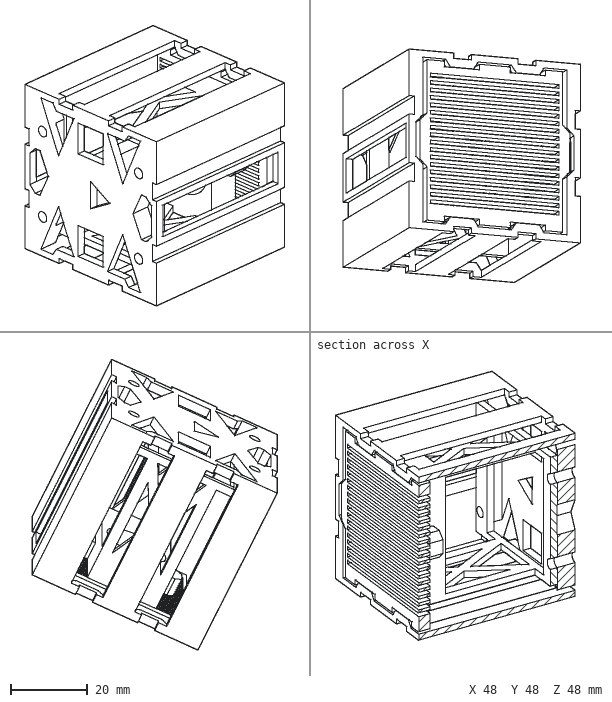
import cadquery as cq
SIZE = 48.0
HALF = SIZE / 2

ROOF = 1.85
BORE_TOP = HALF - ROOF
LAND = 20.15
GROOVE_INNER = 6.55
GROOVE_WIDTH = 4.95
GROOVE_DEPTH = 1.45
OPENING_Y = 21.6
FRONT_INNER = -OPENING_Y
SLOT_INNER = 4.6
SLOT_OUTER = 13.8
LAND_START = 6.0
LAND_END = 12.5

TRIANGLE_X = 11.7
TRIANGLE_APEX_Z = 7.4
TRIANGLE_HALF_BASE = 6.45
SQUARE_BOTTOM = 10.45
SQUARE_TOP = 19.5
ARROW_HALF = 4.0
ARROW_LENGTH = 7.0
SIDE_TIP_X = 15.45
SIDE_SHOULDER_X = 18.55
SCREW_DIAMETER = 3.0
SCREW_X = 17.5
SCREW_Z = 12.5
PILLAR_MARGIN = 2.5
PILLAR_INNER = SCREW_X - PILLAR_MARGIN
RING_FRONT = -18.5

RING_BACK = -16.35
RING_HALF_Z = 19.0
RING_HALF_X = 19.5
RING_OPENING_X = 14.1
RING_OPENING_Z = 17.1
CARRIER_HALF_X = 10.0
BLOCK_FRONT = 11.05
CARRIER_BACK = 19.9
BARREL_DIAMETER = 17.0
BARREL_Z = -3.4
LUG_LENGTH = 5.0
LUG_HALF = 3.95
LUG_TIP_HALF = 2.0
LUG_CHAMFER = LUG_HALF - LUG_TIP_HALF
TRUSS_HALF_X = 7.0
TRUSS_CENTRE_Y = 0.25
TRUSS_SLOPE = 1.95
TRUSS_SIDE_HALF = 10.8

GRILLE_FRONT = 20.45
GRILLE_TOP = 21.55
GRILLE_NOTCH_START = 4.3
GRILLE_NOTCH_END = 14.1
GRILLE_NOTCH_TOP = 20.05
GRILLE_BUMP_X = 21.0
GRILLE_HALF_X = 19.0
GRILLE_BUMP_HALF = 5.3
GRILLE_WINDOW = 18.0
SLAT_COUNT = 18
SLAT_PITCH = 2 * GRILLE_WINDOW / SLAT_COUNT
SLAT_HEIGHT = SLAT_PITCH / 2


def box(x_min, x_max, y_min, y_max, z_min, z_max):
    size = (x_max - x_min, y_max - y_min, z_max - z_min)
    return cq.Workplane("XY").box(*size, centered=False).translate((x_min, y_min, z_min))


def prism_y(points, y_min, y_max):
    """Extrude an outline of (x, z) points from y_min to y_max."""
    return cq.Workplane("XZ", origin=(0, y_min, 0)).polyline(points).close().extrude(y_min - y_max)


def prism_z(points, z_min, z_max):
    """Extrude an outline of (x, y) points from z_min to z_max."""
    return cq.Workplane("XY", origin=(0, 0, z_min)).polyline(points).close().extrude(z_max - z_min)


def cylinder_y(diameter, x, z, y_min, y_max):
    return cq.Workplane("XZ", origin=(x, y_min, z)).circle(diameter / 2).extrude(y_min - y_max)


def mirror_quarter(quarter):
    """Complete an outline from its points in the +X +Z quarter, listed from the X axis to the Z axis."""
    upper_left = [(-x, z) for x, z in reversed(quarter)]
    lower_left = [(-x, -z) for x, z in quarter]
    lower_right = [(x, -z) for x, z in reversed(quarter)]
    return quarter + upper_left + lower_left + lower_right


def mirrored_pair(shape, plane):
    return shape.union(shape.mirror(plane))


def bore(y_min, y_max):
    """Inside of the housing, with a channel along each side and lands under the top grooves."""
    quarter = [
        (BORE_TOP, SLOT_INNER),
        (LAND, SLOT_INNER + BORE_TOP - LAND),
        (LAND, BORE_TOP),
        (SLOT_OUTER, BORE_TOP),
        (LAND_END, LAND),
        (LAND_START, LAND),
        (SLOT_INNER, BORE_TOP),
    ]
    return prism_y(mirror_quarter(quarter), y_min, y_max)


def side_cutout(y_max):
    points = [
        (SIDE_TIP_X, 0),
        (SIDE_SHOULDER_X, GROOVE_INNER),
        (HALF, GROOVE_INNER),
        (HALF, -GROOVE_INNER),
        (SIDE_SHOULDER_X, -GROOVE_INNER),
    ]
    cutout = prism_y(points, -HALF, y_max).intersect(bore(-HALF, y_max))
    return mirrored_pair(cutout, "YZ")


def corner_triangles():
    points = [
        (TRIANGLE_X, TRIANGLE_APEX_Z),
        (TRIANGLE_X + TRIANGLE_HALF_BASE, BORE_TOP),
        (TRIANGLE_X - TRIANGLE_HALF_BASE, BORE_TOP),
    ]
    triangle = prism_y(points, -HALF, RING_FRONT).intersect(bore(-HALF, RING_FRONT))
    return mirrored_pair(mirrored_pair(triangle, "YZ"), "XY")


def screw_holes(y_min, y_max):
    hole = cylinder_y(SCREW_DIAMETER, SCREW_X, SCREW_Z, y_min, y_max)
    return mirrored_pair(mirrored_pair(hole, "YZ"), "XY")


def make_housing():
    body = box(-HALF, HALF, -HALF, HALF, -HALF, HALF)
    body = body.cut(bore(FRONT_INNER, HALF))
    pillar = box(PILLAR_INNER, BORE_TOP, FRONT_INNER, RING_FRONT, -BORE_TOP, BORE_TOP)
    body = body.union(mirrored_pair(pillar, "YZ"))

    groove_outer = GROOVE_INNER + GROOVE_WIDTH
    groove = box(GROOVE_INNER, groove_outer, -HALF, HALF, HALF - GROOVE_DEPTH, HALF)
    groove_pair = mirrored_pair(groove, "YZ")
    for turn in range(4):
        body = body.cut(groove_pair.rotate((0, 0, 0), (0, 1, 0), 90 * turn))

    slot = box(SLOT_INNER, SLOT_OUTER, -OPENING_Y, OPENING_Y, LAND - 0.5, HALF)
    body = body.cut(mirrored_pair(mirrored_pair(slot, "YZ"), "XY"))
    window = box(BORE_TOP, HALF, -OPENING_Y, OPENING_Y, -SLOT_INNER, SLOT_INNER)
    body = body.cut(mirrored_pair(window, "YZ"))

    square = box(-SLOT_INNER, SLOT_INNER, -HALF, FRONT_INNER, SQUARE_BOTTOM, SQUARE_TOP)
    body = body.cut(mirrored_pair(square, "XY"))
    body = body.cut(corner_triangles())
    body = body.cut(side_cutout(RING_FRONT))
    body = body.cut(screw_holes(-HALF, RING_FRONT))
    arrow = [(0, ARROW_HALF), (0, -ARROW_HALF), (ARROW_LENGTH, 0)]
    return body.cut(prism_y(arrow, -HALF, FRONT_INNER))


def truss_openings():
    """Four triangles that leave crossing diagonals in the carrier plates."""
    apex_x = TRUSS_HALF_X - TRUSS_SIDE_HALF / TRUSS_SLOPE
    side = [
        (TRUSS_HALF_X, TRUSS_CENTRE_Y - TRUSS_SIDE_HALF),
        (TRUSS_HALF_X, TRUSS_CENTRE_Y + TRUSS_SIDE_HALF),
        (apex_x, TRUSS_CENTRE_Y),
    ]
    front = [
        (-TRUSS_HALF_X, RING_BACK),
        (TRUSS_HALF_X, RING_BACK),
        (0, RING_BACK + TRUSS_HALF_X * TRUSS_SLOPE),
    ]
    sides = mirrored_pair(prism_z(side, -RING_HALF_Z, RING_HALF_Z), "YZ")
    front_opening = prism_z(front, -RING_HALF_Z, RING_HALF_Z)
    back_opening = front_opening.mirror("XZ", (0, TRUSS_CENTRE_Y, 0))
    return sides.union(front_opening).union(back_opening)


def make_carrier():
    ring = box(-RING_HALF_X, RING_HALF_X, RING_FRONT, RING_BACK, -RING_HALF_Z, RING_HALF_Z)
    ring = ring.cut(
        box(-RING_OPENING_X, RING_OPENING_X, RING_FRONT, RING_BACK, -RING_OPENING_Z, RING_OPENING_Z)
    )
    ring = ring.cut(screw_holes(RING_FRONT, RING_BACK))

    plate = box(-CARRIER_HALF_X, CARRIER_HALF_X, RING_BACK, CARRIER_BACK, RING_OPENING_Z, RING_HALF_Z)
    plates = mirrored_pair(plate, "XY").cut(truss_openings())

    block = box(-CARRIER_HALF_X, CARRIER_HALF_X, BLOCK_FRONT, CARRIER_BACK, -RING_HALF_Z, RING_HALF_Z)
    lug_tip = CARRIER_HALF_X + LUG_LENGTH
    lug = [
        (CARRIER_HALF_X, LUG_HALF),
        (lug_tip - LUG_CHAMFER, LUG_HALF),
        (lug_tip, LUG_TIP_HALF),
        (lug_tip, -LUG_TIP_HALF),
        (lug_tip - LUG_CHAMFER, -LUG_HALF),
        (CARRIER_HALF_X, -LUG_HALF),
    ]
    block = block.union(mirrored_pair(prism_y(lug, CARRIER_BACK - LUG_LENGTH, CARRIER_BACK), "YZ"))
    block = block.cut(cylinder_y(BARREL_DIAMETER, 0, BARREL_Z, BLOCK_FRONT, CARRIER_BACK))
    return ring.union(plates).union(block)


def make_grille():
    quarter = [
        (GRILLE_BUMP_X, GRILLE_BUMP_HALF),
        (GRILLE_HALF_X, GRILLE_BUMP_HALF + GRILLE_BUMP_X - GRILLE_HALF_X),
        (GRILLE_HALF_X, GRILLE_TOP),
        (GRILLE_NOTCH_END, GRILLE_TOP),
        (GRILLE_NOTCH_END, GRILLE_NOTCH_TOP),
        (GRILLE_NOTCH_START, GRILLE_NOTCH_TOP),
        (GRILLE_NOTCH_START, GRILLE_TOP),
    ]
    plate = prism_y(mirror_quarter(quarter), GRILLE_FRONT, HALF)
    for index in range(SLAT_COUNT):
        gap_top = GRILLE_WINDOW - index * SLAT_PITCH
        gap = box(-GRILLE_WINDOW, GRILLE_WINDOW, GRILLE_FRONT, HALF, gap_top - SLAT_HEIGHT, gap_top)
        plate = plate.cut(gap)
    return plate


housing = make_housing()
carrier = make_carrier()
grille = make_grille()

result = cq.Compound.makeCompound([housing.val(), carrier.val(), grille.val()])